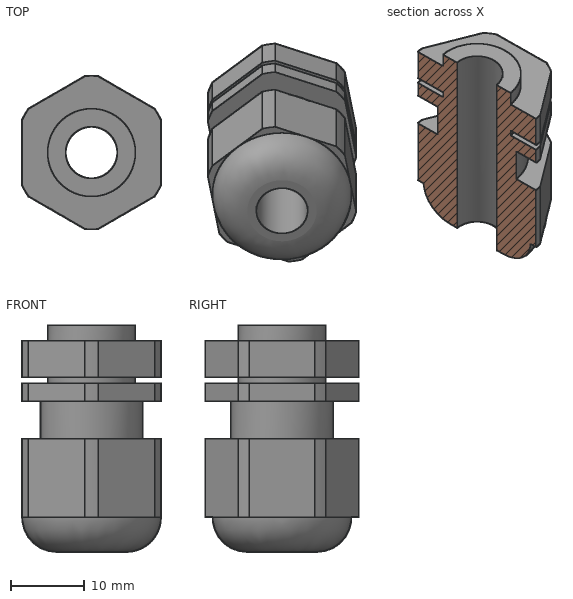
import cadquery as cq
import math

total_height = 31.0
across_flats = 19.0
corner_diameter = 21.0
thread_diameter = 12.0
neck_diameter = 14.0
bore_diameter = 7.0

dome_top = 4.77
cap_top = 15.5
neck_top = 20.58
flange_top = 23.05
nut_bottom = 23.87
nut_top = 28.85


def cylinder(diameter, bottom, top):
    return cq.Workplane("XY").workplane(offset=bottom).circle(diameter / 2).extrude(top - bottom)


def hex_block(bottom, top):
    """Hexagon with flats facing +X and -X, its corners turned to a round."""
    vertex_radius = across_flats / math.sqrt(3)
    vertex_angles = [math.radians(30 + 60 * side) for side in range(6)]
    vertices = [(vertex_radius * math.cos(a), vertex_radius * math.sin(a)) for a in vertex_angles]
    hexagon = cq.Workplane("XY").workplane(offset=bottom).polyline(vertices).close().extrude(top - bottom)
    return hexagon.intersect(cylinder(corner_diameter, bottom, top))


def dome():
    """Round end of the cap: a quarter-circle edge around a flat bottom."""
    rim_radius = across_flats / 2
    flat_radius = rim_radius - dome_top
    profile = (
        cq.Workplane("XZ")
        .lineTo(flat_radius, 0)
        .radiusArc((rim_radius, dome_top), -dome_top)
        .lineTo(0, dome_top)
        .close()
    )
    return profile.revolve(360, (0, 0, 0), (0, 1, 0))


body = (
    dome()
    .union(hex_block(dome_top, cap_top))
    .union(cylinder(neck_diameter, cap_top, neck_top))
    .union(hex_block(neck_top, flange_top))
    .union(cylinder(thread_diameter, flange_top, total_height))
    .union(hex_block(nut_bottom, nut_top))
)
result = body.cut(cylinder(bore_diameter, 0, total_height))